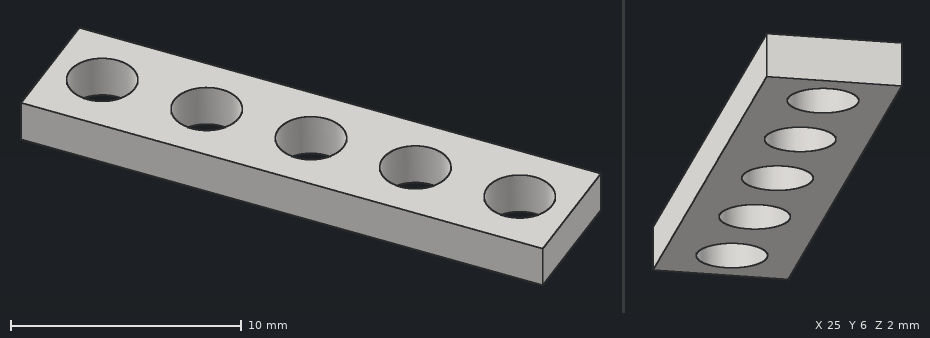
import cadquery as cq

length = 25.0
width = 6.0
thickness = 2.0

hole_count = 5
hole_diameter = 3.1
hole_pitch = length / hole_count

bar = cq.Workplane("XY").box(length, width, thickness)

result = (
    bar.faces(">Z")
    .workplane()
    .rarray(hole_pitch, width, hole_count, 1)
    .hole(hole_diameter)
)